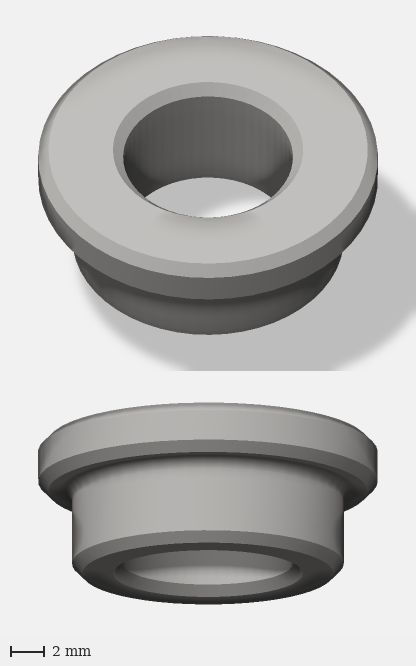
import cadquery as cq

flange_diameter = 20.0
body_diameter = 16.0
bore_diameter = 10.0
total_height = 8.0
flange_thickness = 3.0
edge_chamfer = 0.6
neck_fillet = 0.6

flange_bottom = total_height - flange_thickness
smallest_circle = cq.selectors.RadiusNthSelector(0)


def cylinder(diameter, height, base_z):
    return cq.Workplane("XY").workplane(offset=base_z).circle(diameter / 2).extrude(height)


flange = cylinder(flange_diameter, flange_thickness, flange_bottom).faces("|Z").edges().chamfer(edge_chamfer)
body = cylinder(body_diameter, flange_bottom, 0).faces("<Z").edges().chamfer(edge_chamfer)
bushing = body.union(flange)

flange_underside = bushing.faces("<Z[1]")
bushing = flange_underside.edges(smallest_circle).fillet(neck_fillet)

bushing = bushing.cut(cylinder(bore_diameter, total_height, 0))
for end_face in (">Z", "<Z"):
    bushing = bushing.faces(end_face).edges(smallest_circle).chamfer(edge_chamfer)

result = bushing